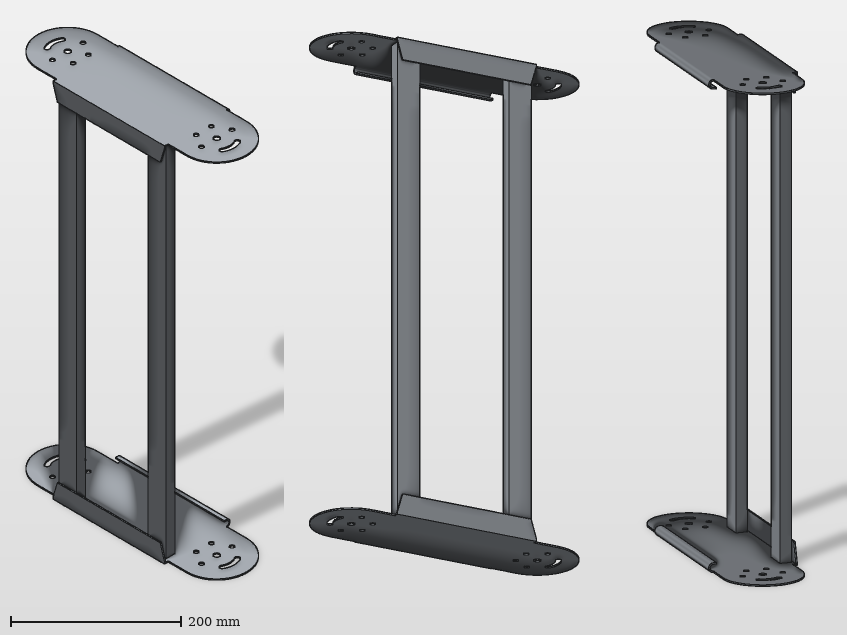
import cadquery as cq
import math

FRAME_HEIGHT = 599.0
SHEET = 2.0

PLATE_LENGTH = 348.0
PLATE_WIDTH = 98.0
END_RADIUS = PLATE_WIDTH / 2
END_CENTRE_X = PLATE_LENGTH / 2 - END_RADIUS

PATTERN_RADIUS = 25.0
CENTRE_HOLE_DIAMETER = 9.0
SMALL_HOLE_DIAMETER = 6.5
SMALL_HOLE_ANGLES = (90, 150, 210, 270)
SLOT_WIDTH = 7.0
SLOT_HALF_ANGLE = 30

POSTS_OUTER_SPAN = 179.5
POST_WIDTH = 30.0
POST_DEPTH = 14.5
POST_FRONT_Y = -PLATE_WIDTH / 2
POST_GAP = 1.0
POST_HEIGHT = FRAME_HEIGHT - 2 * (SHEET + POST_GAP)

HOOK_LENGTH = 182.0
HOOK_RADIUS = 6.0
HOOK_LIP = 3.5

FLANGE_OVERHANG = 6.0
FLANGE_HEIGHT = 27.0
FLANGE_BASE_LENGTH = 187.0
FLANGE_TIP_LENGTH = 172.5
FLANGE_TAPER_START = 3.0

OVERLAP = 3.0


def point(radius, degrees):
    """X and Y of a point given by its distance and direction from the origin."""
    angle = math.radians(degrees)
    return (radius * math.cos(angle), radius * math.sin(angle))


def holed_end_cutter():
    """Holes and curved slot of the +X end, around the origin."""
    cutter = cq.Workplane("XY").circle(CENTRE_HOLE_DIAMETER / 2).extrude(-SHEET)
    for angle in SMALL_HOLE_ANGLES:
        small_hole = (
            cq.Workplane("XY")
            .center(*point(PATTERN_RADIUS, angle))
            .circle(SMALL_HOLE_DIAMETER / 2)
            .extrude(-SHEET)
        )
        cutter = cutter.union(small_hole)
    return cutter.union(curved_slot())


def curved_slot():
    """Slot with round ends that follows the pattern circle on the outer side."""
    inner = PATTERN_RADIUS - SLOT_WIDTH / 2
    outer = PATTERN_RADIUS + SLOT_WIDTH / 2
    cap = math.degrees(SLOT_WIDTH / 2 / PATTERN_RADIUS)
    tip = SLOT_HALF_ANGLE + cap
    return (
        cq.Workplane("XY")
        .moveTo(*point(outer, -SLOT_HALF_ANGLE))
        .threePointArc(point(outer, 0), point(outer, SLOT_HALF_ANGLE))
        .threePointArc(point(PATTERN_RADIUS, tip), point(inner, SLOT_HALF_ANGLE))
        .threePointArc(point(inner, 0), point(inner, -SLOT_HALF_ANGLE))
        .threePointArc(point(PATTERN_RADIUS, -tip), point(outer, -SLOT_HALF_ANGLE))
        .close()
        .extrude(-SHEET)
    )


def hook():
    """Half-round curl with a short lip, hanging below the back edge."""
    edge = PLATE_WIDTH / 2
    inner = HOOK_RADIUS - SHEET
    return (
        cq.Workplane("YZ")
        .moveTo(edge - OVERLAP, 0)
        .lineTo(edge, 0)
        .threePointArc((edge + HOOK_RADIUS, -HOOK_RADIUS), (edge, -2 * HOOK_RADIUS))
        .lineTo(edge - HOOK_LIP, -2 * HOOK_RADIUS)
        .lineTo(edge - HOOK_LIP, -2 * HOOK_RADIUS + SHEET)
        .lineTo(edge, -2 * HOOK_RADIUS + SHEET)
        .threePointArc((edge + inner, -HOOK_RADIUS), (edge, -SHEET))
        .lineTo(edge - OVERLAP, -SHEET)
        .close()
        .extrude(HOOK_LENGTH / 2, both=True)
    )


def flange():
    """Strip folded down square in front of the front edge, its sides sloping inwards."""
    edge = -PLATE_WIDTH / 2
    face = edge - FLANGE_OVERHANG
    strip = (
        cq.Workplane("YZ")
        .polyline([
            (edge + OVERLAP, 0),
            (face, 0),
            (face, -FLANGE_HEIGHT),
            (face + SHEET, -FLANGE_HEIGHT),
            (face + SHEET, -SHEET),
            (edge + OVERLAP, -SHEET),
        ])
        .close()
        .extrude(FLANGE_BASE_LENGTH / 2, both=True)
    )
    half_base = FLANGE_BASE_LENGTH / 2
    half_tip = FLANGE_TIP_LENGTH / 2
    taper = (
        cq.Workplane("XZ")
        .polyline([
            (-half_base, 0),
            (half_base, 0),
            (half_base, -FLANGE_TAPER_START),
            (half_tip, -FLANGE_HEIGHT),
            (-half_tip, -FLANGE_HEIGHT),
            (-half_base, -FLANGE_TAPER_START),
        ])
        .close()
        .extrude(PLATE_WIDTH)
    )
    return strip.intersect(taper)


def end_plate():
    """Top plate: flat sheet, hook, flange and both hole patterns."""
    plate = cq.Workplane("XY").slot2D(PLATE_LENGTH, PLATE_WIDTH).extrude(-SHEET)
    plate = plate.union(hook()).union(flange())
    right_end = holed_end_cutter().translate((END_CENTRE_X, 0, 0))
    plate = plate.cut(right_end).cut(right_end.mirror("YZ"))
    return plate.translate((0, 0, FRAME_HEIGHT / 2))


def post(centre_x):
    """Upright bar standing between the two plates."""
    return cq.Workplane("XY").box(POST_WIDTH, POST_DEPTH, POST_HEIGHT).translate(
        (centre_x, POST_FRONT_Y + POST_DEPTH / 2, 0)
    )


top_plate = end_plate()
bottom_plate = top_plate.mirror("XY")
post_centre_x = (POSTS_OUTER_SPAN - POST_WIDTH) / 2
posts = [post(side * post_centre_x) for side in (-1, 1)]

result = cq.Compound.makeCompound(
    [top_plate.val(), bottom_plate.val(), *[bar.val() for bar in posts]]
)